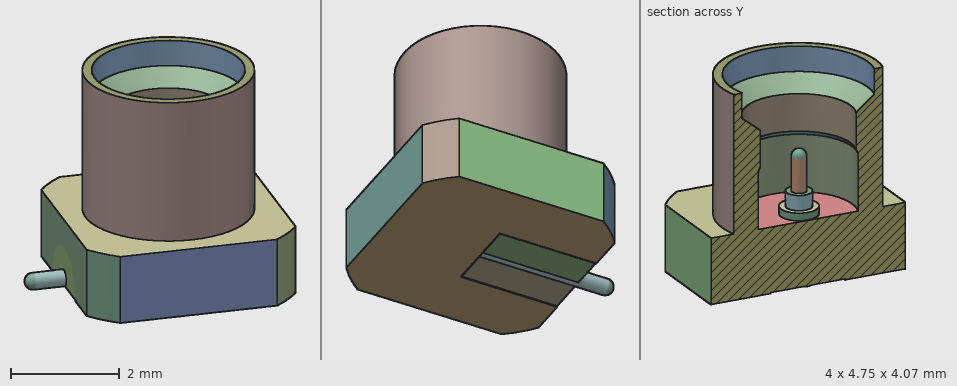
import cadquery as cq

base_side = 4.0
base_corner_diameter = 5.0
base_height = 1.32
base_bottom = 0

total_height = 4.07
tube_diameter = 3.17

entry_diameter = 2.82
throat_diameter = 2.11
chamber_diameter = 2.18
entry_depth = 0.50
lead_in_depth = 0.80
throat_depth = 1.54
chamber_depth = 1.615
socket_floor = base_height

collar_diameter = 0.74
collar_height = 0.15
shank_diameter = 0.50
shank_height = 0.45
contact_diameter = 0.29
contact_top = 2.60

insulator_radius = 0.765
insulator_bottom = 0.02
insulator_length = base_side / 2

lead_diameter = 0.32
lead_radius = lead_diameter / 2
lead_reach = 0.75
lead_clearance = 0.005
lead_axis_height = lead_clearance + lead_radius


def cylinder(diameter, bottom, top):
    """Upright cylinder on the part axis."""
    return cq.Workplane("XY").workplane(offset=bottom).circle(diameter / 2).extrude(top - bottom)


def make_base():
    square = cq.Workplane("XY").rect(base_side, base_side).extrude(base_height)
    return square.intersect(cylinder(base_corner_diameter, base_bottom, base_height))


def make_socket_bore():
    """Solid of revolution that hollows out the tube."""
    entry_radius = entry_diameter / 2
    throat_radius = throat_diameter / 2
    chamber_radius = chamber_diameter / 2
    return (
        cq.Workplane("XZ")
        .moveTo(0, total_height)
        .lineTo(entry_radius, total_height)
        .lineTo(entry_radius, total_height - entry_depth)
        .lineTo(throat_radius, total_height - lead_in_depth)
        .lineTo(throat_radius, total_height - throat_depth)
        .lineTo(chamber_radius, total_height - chamber_depth)
        .lineTo(chamber_radius, socket_floor)
        .lineTo(0, socket_floor)
        .close()
        .revolve(360, (0, 0), (0, 1))
    )


def make_contact():
    collar = cylinder(collar_diameter, 0, collar_height)
    shank = cylinder(shank_diameter, 0, shank_height)
    tip_radius = contact_diameter / 2
    tip_center = contact_top - socket_floor - tip_radius
    tip = cylinder(contact_diameter, 0, tip_center)
    dome = cq.Workplane("XY").sphere(tip_radius).translate((0, 0, tip_center))
    return collar.union(shank).union(tip).union(dome).translate((0, 0, socket_floor))


def make_half_round(bottom):
    """Half-round bar from the front face to the part axis, trimmed flat at the given height."""
    bar = cq.Workplane("XZ").circle(insulator_radius).extrude(insulator_length)
    upper_half = cq.Workplane("XY").workplane(offset=bottom).box(
        base_side, 2 * base_side, base_side, centered=(True, True, False)
    )
    return bar.intersect(upper_half)


def make_lead():
    """Horizontal pin from the part axis forward, ending in a hemisphere."""
    dome_center = base_side / 2 + lead_reach - lead_radius
    shaft = cq.Workplane("XZ").circle(lead_radius).extrude(dome_center)
    dome = cq.Workplane("XY").sphere(lead_radius).translate((0, -dome_center, 0))
    return shaft.union(dome, clean=False).translate((0, 0, lead_axis_height))


body = make_base().union(cylinder(tube_diameter, base_height, total_height))
body = body.cut(make_socket_bore()).union(make_contact())

body = body.cut(make_half_round(base_bottom))
body = body.union(make_half_round(insulator_bottom), clean=False)

result = body.union(make_lead(), clean=False)